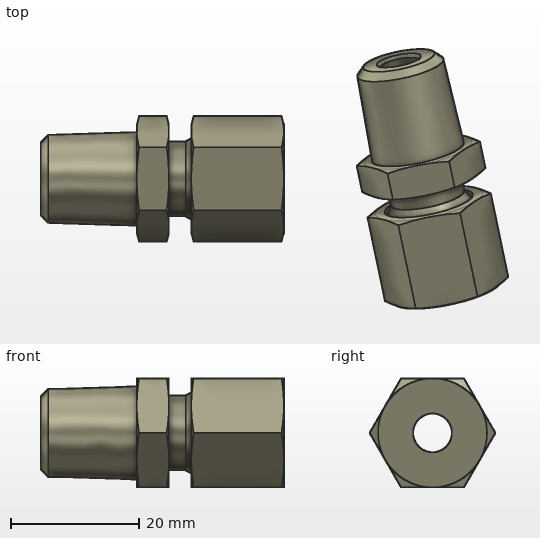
import cadquery as cq
import math


OVERALL_LENGTH = 38.0
HEX_ACROSS_FLATS = 17.0
HEX_CHAMFER_ANGLE = math.radians(15)
BORE_DIAMETER = 6.0

STUD_LENGTH = 15.0
STUD_TIP_CHAMFER = 1.2
STUD_TIP_RADIUS = 6.88
STUD_TAPER = 1 / 16
BORE_MOUTH_CHAMFER = 0.53

BODY_HEX_LENGTH = 5.0
NECK_DIAMETER = 11.7
NECK_LENGTH = 2.6
SPIGOT_DIAMETER = 14.0
SPIGOT_LEAD_ANGLE = math.radians(30)

NUT_LENGTH = 14.5
NUT_RIM_LENGTH = 0.1

hex_flat_radius = HEX_ACROSS_FLATS / 2
hex_corner_radius = hex_flat_radius / math.cos(math.radians(30))
hex_chamfer_length = (hex_corner_radius - hex_flat_radius) * math.tan(HEX_CHAMFER_ANGLE)
bore_radius = BORE_DIAMETER / 2
neck_radius = NECK_DIAMETER / 2
spigot_radius = SPIGOT_DIAMETER / 2
stud_root_radius = STUD_TIP_RADIUS + (STUD_LENGTH - STUD_TIP_CHAMFER) * STUD_TAPER / 2

neck_start = STUD_LENGTH + BODY_HEX_LENGTH
neck_end = neck_start + NECK_LENGTH
spigot_start = neck_end + (spigot_radius - neck_radius) / math.tan(SPIGOT_LEAD_ANGLE)
nut_start = OVERALL_LENGTH - NUT_LENGTH
nut_hex_end = OVERALL_LENGTH - NUT_RIM_LENGTH
spigot_end = nut_start + NUT_LENGTH / 2


def revolve_about_x(points):
    """Revolve a closed outline of (x, radius) points about the X axis."""
    return cq.Workplane("XY").polyline(points).close().revolve(360, (0, 0, 0), (1, 0, 0))


def cylinder_along_x(start, end, radius):
    return cq.Workplane("YZ", origin=(start, 0, 0)).circle(radius).extrude(end - start)


def chamfered_hexagon(start, end):
    """Hexagonal prism with corners on the Y axis, turned to a shallow cone at both ends."""
    prism = (
        cq.Workplane("YZ", origin=(start, 0, 0))
        .polygon(6, 2 * hex_corner_radius)
        .extrude(end - start)
    )
    turned_envelope = revolve_about_x([
        (start, 0),
        (start, hex_flat_radius),
        (start + hex_chamfer_length, hex_corner_radius),
        (end - hex_chamfer_length, hex_corner_radius),
        (end, hex_flat_radius),
        (end, 0),
    ])
    return prism.intersect(turned_envelope)


def make_stud():
    return revolve_about_x([
        (0, 0),
        (0, STUD_TIP_RADIUS - STUD_TIP_CHAMFER),
        (STUD_TIP_CHAMFER, STUD_TIP_RADIUS),
        (STUD_LENGTH, stud_root_radius),
        (STUD_LENGTH, 0),
    ])


def make_neck_and_spigot():
    return revolve_about_x([
        (neck_start, 0),
        (neck_start, neck_radius),
        (neck_end, neck_radius),
        (spigot_start, spigot_radius),
        (spigot_end, spigot_radius),
        (spigot_end, 0),
    ])


def make_bore_mouth():
    """Cone that opens the bore at the stud tip."""
    return revolve_about_x([
        (0, 0),
        (0, bore_radius + BORE_MOUTH_CHAMFER),
        (BORE_MOUTH_CHAMFER, bore_radius),
        (BORE_MOUTH_CHAMFER, 0),
    ])


def make_body():
    hexagon = chamfered_hexagon(STUD_LENGTH, neck_start)
    solid = make_stud().union(hexagon).union(make_neck_and_spigot())
    bore = cylinder_along_x(0, spigot_end, bore_radius)
    return solid.cut(bore).cut(make_bore_mouth())


def make_union_nut():
    """Nut with a round rim on its outer end, a socket for the spigot and a passage for the tube."""
    rim = cylinder_along_x(nut_hex_end, OVERALL_LENGTH, hex_flat_radius)
    socket = cylinder_along_x(nut_start, spigot_end, spigot_radius)
    passage = cylinder_along_x(spigot_end, OVERALL_LENGTH, bore_radius)
    return chamfered_hexagon(nut_start, nut_hex_end).union(rim).cut(socket).cut(passage)


body = make_body()
union_nut = make_union_nut()

result = cq.Compound.makeCompound([body.val(), union_nut.val()])